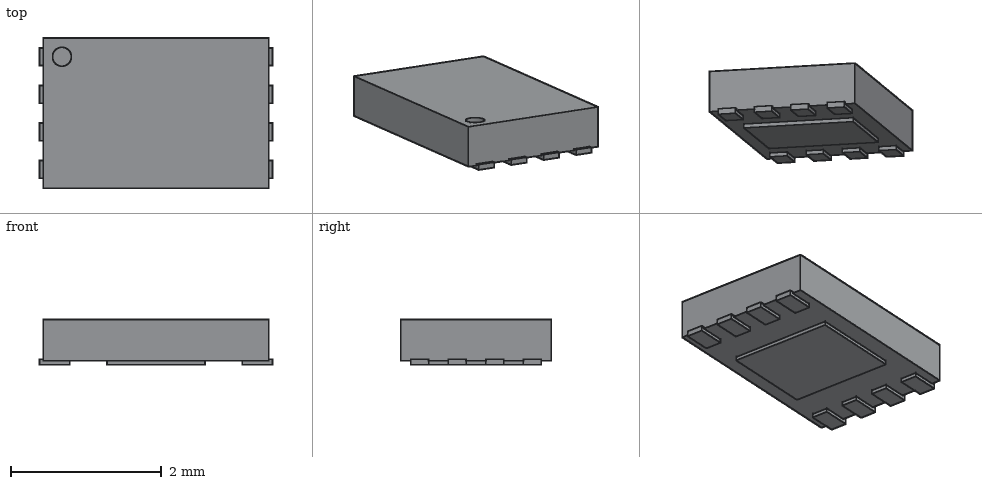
import cadquery as cq

overall_length = 3.1
overall_height = 0.6

lead_overhang = 0.05
standoff = 0.053
housing_length = overall_length - 2 * lead_overhang
housing_width = 2.0
housing_height = overall_height - standoff

mark_diameter = 0.25
mark_inset = 0.25
mark_depth = 0.062

sheet_thickness = 0.075
lead_length = 0.405
lead_width = 0.24
lead_pitch = 0.5
leads_per_side = 4
pad_length = 1.308
pad_width = 1.5


def make_block(length, width, height, x=0, y=0, z=0):
    """Box centred on (x, y) with its bottom face at z."""
    return cq.Workplane("XY").box(length, width, height, centered=(True, True, False)).translate((x, y, z))


def make_lead(side, index):
    """One lead; side is -1 or +1 along X, index counts along Y."""
    x = side * (overall_length - lead_length) / 2
    y = (index - (leads_per_side - 1) / 2) * lead_pitch
    return make_block(lead_length, lead_width, sheet_thickness, x, y)


def make_pad():
    """Thermal pad in the middle of the underside."""
    return make_block(pad_length, pad_width, sheet_thickness)


def make_mark_recess():
    """Round cutter for the pin-one mark, at the -X, +Y corner."""
    x = mark_inset - housing_length / 2
    y = housing_width / 2 - mark_inset
    return (
        cq.Workplane("XY", origin=(x, y, overall_height))
        .circle(mark_diameter / 2)
        .extrude(-mark_depth)
    )


def make_housing(embedded_bodies):
    """Moulded housing with the mark and a matching recess for each metal body."""
    housing = make_block(housing_length, housing_width, housing_height, z=standoff)
    housing = housing.cut(make_mark_recess())
    for body in embedded_bodies:
        housing = housing.cut(body)
    return housing


leads = [make_lead(side, index) for side in (-1, 1) for index in range(leads_per_side)]
pad = make_pad()
housing = make_housing([*leads, pad])

result = cq.Compound.makeCompound([housing.val(), pad.val(), *[lead.val() for lead in leads]])